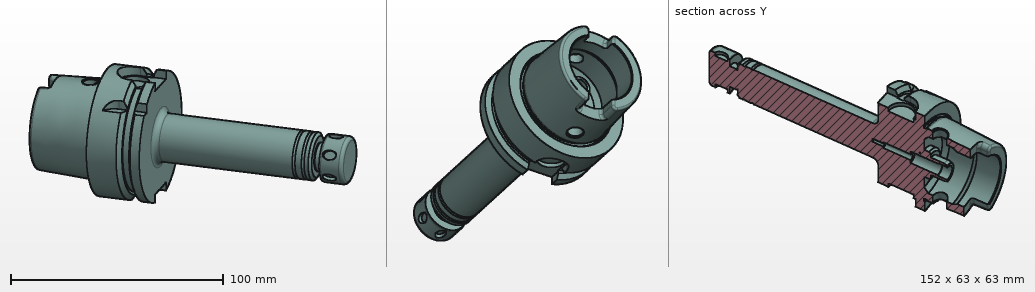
import cadquery as cq
import math


tip_radius = 22.6
gauge_radius = 24.2
taper_end = 29.8
land_end = 30.7
neck_radius = 23.5
tip_fillet = 1.2
bore_radius = 17.0
bore_chamfer = 0.5
bore_straight_end = 13.5
undercut_radius = 18.5
undercut_start = 16.1
floor_radius = 15.7
floor_cone_length = 2.3
bore_floor = 31.9

key_half_width = 6.2
key_depths = {1: 6.1, -1: 9.7}
key_floor_fillet = 1.5
prong_fillet = 2.1
edge_margin = 0.2

access_center = 23.3
access_diameter = 7.5
access_rim_diameter = 8.8
access_rim_depth = 0.8

flange_start = 31.6
flange_end = 57.9
flange_radius = 31.5
relief_radius = 25.4
relief_depth = 0.6
groove_start = 46.4
groove_floor_start = 48.3
groove_floor_end = 51.8
groove_end = 53.4
groove_wall_radius = 28.7
groove_radius = 27.4

drive_center = 45.0
drive_half_width = 8.0
drive_floor = 26.3
pocket_diameter = 14.0
pocket_depth = 2.3

notch_wall = 20.0
notch_floor = 19.9
notch_start = 36.6
notch_radius = 7.5

shank_radius = 11.5
shank_root_fillet = 3.0
shank_end = 136.3
shank_end_chamfer_length = 1.7
shank_end_chamfer_depth = 1.2
shank_groove_starts = (127.2, 131.8)
shank_groove_width = 1.4
shank_groove_depth = 0.5

nut_neck_radius = 7.0
neck_groove_radius = 6.5
neck_groove_width = 0.5
nut_start = 140.5
nut_end = 152.0
nut_back_chamfer_length = 0.8
nut_back_chamfer_depth = 0.23
nut_front_fillet = 1.8
wrench_hole_count = 6
wrench_hole_center = 145.2
wrench_hole_length = 6.7
wrench_hole_width = 4.5
wrench_hole_depth = 2.1

tube_tip = 19.0
tube_radius = 6.0
tube_tip_chamfer_length = 2.0
tube_tip_chamfer_depth = 0.6
collar_start = 28.1
collar_radius = 9.1
collar_chamfer = 1.0
coolant_steps = ((8.0, 24.3), (7.3, 39.5), (3.5, 54.7), (1.7, 60.8))


def revolve_about_x(points):
    """Revolve a closed (x, radius) outline about the X axis."""
    return cq.Workplane("XY").polyline(points).close().revolve(360, (0, 0, 0), (1, 0, 0))


def rod(start, end, radius):
    """Solid cylinder along X."""
    return cq.Workplane("YZ").workplane(offset=start).circle(radius).extrude(end - start)


def key_slot(side):
    """Block that mills one driver slot, from the axis outwards on the +Z or -Z side."""
    slot = cq.Workplane("XY").box(
        2 * key_depths[side], 2 * key_half_width, flange_radius, centered=(True, True, False)
    )
    return slot if side > 0 else slot.mirror("XY")


def make_taper():
    """Solid taper with the driver slots cut and its prongs rounded."""
    taper = revolve_about_x([
        (0, 0),
        (0, tip_radius),
        (taper_end, gauge_radius),
        (land_end, gauge_radius),
        (land_end, neck_radius),
        (flange_start + relief_depth, neck_radius),
        (flange_start + relief_depth, 0),
    ])
    for side in key_depths:
        taper = taper.cut(key_slot(side))

    prong_corners = [edge for edge in taper.edges().vals() if edge.geomType() == "HYPERBOLA"]
    taper = taper.newObject(prong_corners).fillet(prong_fillet)
    taper = taper.faces("<X").edges().fillet(tip_fillet)

    for side, depth in key_depths.items():
        near = (depth - edge_margin, -tip_radius, side * edge_margin)
        far = (depth + edge_margin, tip_radius, side * (tip_radius - prong_fillet))
        taper = taper.edges(cq.selectors.BoxSelector(near, far)).fillet(key_floor_fillet)
    return taper


def make_bore():
    """Cavity of the hollow taper: chamfered mouth, clamping undercut and conical inner end."""
    return revolve_about_x([
        (0, 0),
        (0, bore_radius + bore_chamfer),
        (bore_chamfer, bore_radius),
        (bore_straight_end, bore_radius),
        (undercut_start, undercut_radius),
        (bore_floor - floor_cone_length, undercut_radius),
        (bore_floor, floor_radius),
        (bore_floor, 0),
    ])


def make_access_hole():
    """Countersunk hole through the taper wall, running outwards along +Z."""
    taper_slope = (gauge_radius - tip_radius) / taper_end
    surface = tip_radius + taper_slope * access_center
    hole = (
        cq.Workplane("XY", origin=(access_center, 0, floor_radius - access_rim_depth))
        .circle(access_diameter / 2)
        .extrude(flange_radius)
    )
    rim = (
        cq.Workplane("XY", origin=(access_center, 0, surface - access_rim_depth))
        .circle(access_diameter / 2)
        .workplane(offset=access_rim_depth)
        .circle(access_rim_diameter / 2)
        .loft()
    )
    return hole.union(rim)


def make_flange():
    """Gripper flange with its vee groove and the relief around the taper root."""
    return revolve_about_x([
        (flange_start + relief_depth, 0),
        (flange_start + relief_depth, relief_radius - relief_depth),
        (flange_start, relief_radius),
        (flange_start, flange_radius),
        (groove_start, flange_radius),
        (groove_floor_start, groove_wall_radius),
        (groove_floor_start, groove_radius),
        (groove_floor_end, groove_radius),
        (groove_floor_end, groove_wall_radius),
        (groove_end, flange_radius),
        (flange_end, flange_radius),
        (flange_end, 0),
    ])


def make_drive_slot():
    """Round-ended rim slot, open towards +X, with a round pocket in its floor."""
    length = flange_end - drive_center
    floor = cq.Workplane("XY", origin=(drive_center, 0, drive_floor))
    height = flange_radius - drive_floor
    slot = floor.circle(drive_half_width).extrude(height)
    run_out = floor.rect(2 * length, 2 * drive_half_width).extrude(height)
    run_out = run_out.intersect(
        cq.Workplane("XY", origin=(drive_center, 0, 0))
        .box(length, 2 * flange_radius, 2 * flange_radius, centered=(False, True, True))
    )
    pocket = floor.circle(pocket_diameter / 2).extrude(-pocket_depth)
    return slot.union(run_out).union(pocket)


def make_notch():
    """Square corner milled off the -Y/+Z rim, rounded where the cutter stops."""
    return (
        cq.Workplane("XY", origin=(notch_start, -notch_wall, notch_floor))
        .rect(flange_end - notch_start, -2 * notch_radius, centered=False)
        .extrude(flange_radius - notch_floor)
        .edges("|Z and <X")
        .fillet(notch_radius - edge_margin)
    )


def make_shank():
    """Cylindrical shank with a filleted root, shallow rounded grooves and a chamfered end."""
    shank = (
        rod(flange_end, shank_end, shank_radius)
        .faces(">X").edges().chamfer(shank_end_chamfer_depth, shank_end_chamfer_length)
    )
    root_radius = shank_radius + shank_root_fillet
    root_end = flange_end + shank_root_fillet
    diagonal = shank_root_fillet * (1 - math.sqrt(0.5))
    root = (
        cq.Workplane("XY")
        .moveTo(flange_end, 0)
        .lineTo(flange_end, root_radius)
        .threePointArc((flange_end + diagonal, shank_radius + diagonal), (root_end, shank_radius))
        .lineTo(root_end, 0)
        .close()
        .revolve(360, (0, 0, 0), (1, 0, 0))
    )
    shank = shank.union(root)
    for start in shank_groove_starts:
        middle = (start + shank_groove_width / 2, shank_radius - shank_groove_depth)
        ring = (
            cq.Workplane("XY")
            .moveTo(start, shank_radius)
            .threePointArc(middle, (start + shank_groove_width, shank_radius))
            .close()
            .revolve(360, (0, 0, 0), (1, 0, 0))
        )
        shank = shank.cut(ring)
    return shank


def make_nut():
    """Clamping nut on its undercut neck, with a ring of elliptical wrench holes."""
    nut = (
        rod(nut_start, nut_end, shank_radius)
        .faces(">X").edges().fillet(nut_front_fillet)
        .faces("<X").edges().chamfer(nut_back_chamfer_length, nut_back_chamfer_depth)
    )
    wrench_hole = (
        cq.Workplane("XY", origin=(wrench_hole_center, 0, shank_radius - wrench_hole_depth))
        .ellipse(wrench_hole_length / 2, wrench_hole_width / 2)
        .extrude(2 * wrench_hole_depth)
    )
    for i in range(wrench_hole_count):
        nut = nut.cut(wrench_hole.rotate((0, 0, 0), (1, 0, 0), i * 360 / wrench_hole_count))
    groove_stop = shank_end + neck_groove_width
    neck = rod(shank_end, groove_stop, neck_groove_radius).union(rod(groove_stop, nut_start, nut_neck_radius))
    return nut.union(neck)


def make_coolant_tube():
    """Tube and its collar standing on the floor of the taper bore."""
    tube = (
        rod(tube_tip, bore_floor, tube_radius)
        .faces("<X").edges().chamfer(tube_tip_chamfer_length, tube_tip_chamfer_depth)
    )
    collar = rod(collar_start, bore_floor, collar_radius).faces("<X").edges().chamfer(collar_chamfer)
    return tube.union(collar)


result = make_taper().cut(make_bore())
for flip in (0, 180):
    result = result.cut(make_access_hole().rotate((0, 0, 0), (1, 0, 0), flip))

flange = make_flange().cut(make_notch())
for flip in (0, 180):
    flange = flange.cut(make_drive_slot().rotate((0, 0, 0), (1, 0, 0), flip))

result = result.union(flange)
for piece in (make_shank(), make_nut(), make_coolant_tube()):
    result = result.union(piece)

step_start = tube_tip
for diameter, step_end in coolant_steps:
    result = result.cut(rod(step_start, step_end, diameter / 2))
    step_start = step_end